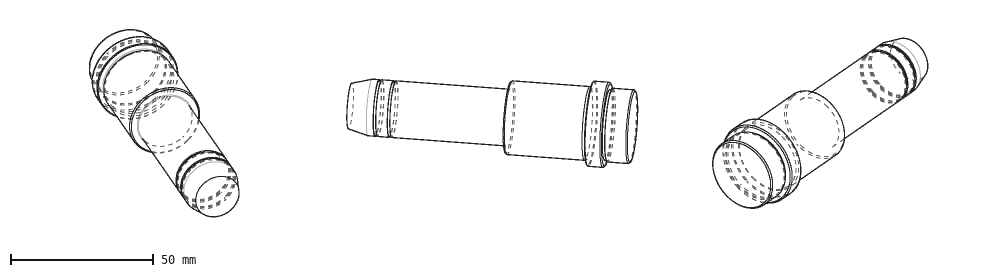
import cadquery as cq
import math

length = 100.0
head_radius = 13.0
collar_radius = 15.0
shaft_radius = 10.0

head_end = 8.0
collar_start = 8.9
collar_end = 14.9
sleeve_start = 16.0
sleeve_end = 44.0

edge_chamfer = 0.5
collar_back_chamfer = 0.3
neck_depth = 0.5
relief_depth = 0.6
root_fillet = 0.3

groove_starts = (84.5, 89.5)
groove_width = 0.9
groove_depth = 0.5
taper_length = 7.2
taper_angle = 15.0
tip_radius = shaft_radius - taper_length * math.tan(math.radians(taper_angle))


def make_body():
    """Revolve the stepped outline of head, collar, sleeve, shaft and tapered tip."""
    neck_radius = head_radius - neck_depth
    relief_middle = (collar_end + sleeve_start) / 2
    outline = (
        cq.Workplane("XY")
        .moveTo(0, 0)
        .lineTo(0, head_radius - edge_chamfer)
        .lineTo(edge_chamfer, head_radius)
        .lineTo(head_end, head_radius)
        .lineTo(head_end, neck_radius)
        .lineTo(collar_start, neck_radius)
        .lineTo(collar_start, collar_radius - edge_chamfer)
        .lineTo(collar_start + edge_chamfer, collar_radius)
        .lineTo(collar_end - collar_back_chamfer, collar_radius)
        .lineTo(collar_end, collar_radius - collar_back_chamfer)
        .lineTo(collar_end, head_radius)
        .threePointArc((relief_middle, head_radius - relief_depth), (sleeve_start, head_radius))
        .lineTo(sleeve_end - edge_chamfer, head_radius)
        .lineTo(sleeve_end, head_radius - edge_chamfer)
        .lineTo(sleeve_end, shaft_radius + root_fillet)
        .radiusArc((sleeve_end + root_fillet, shaft_radius), -root_fillet)
        .lineTo(length - taper_length, shaft_radius)
        .lineTo(length, tip_radius)
        .lineTo(length, 0)
        .close()
    )
    return outline.revolve(360, (0, 0, 0), (1, 0, 0))


def make_ring_groove(start):
    """Ring of material to remove from the shaft, starting at the given distance."""
    return (
        cq.Workplane("YZ", origin=(start, 0, 0))
        .circle(collar_radius)
        .circle(shaft_radius - groove_depth)
        .extrude(groove_width)
    )


body = make_body()
for groove_start in groove_starts:
    body = body.cut(make_ring_groove(groove_start))

result = body.translate((-length / 2, 0, 0))